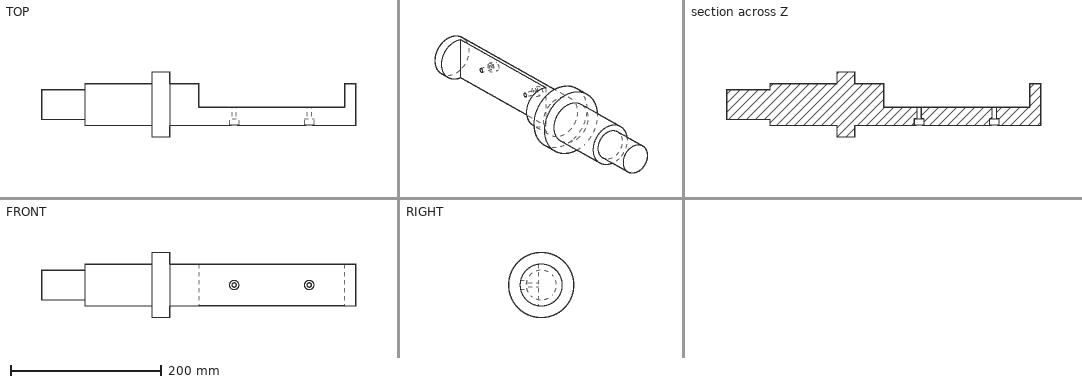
import cadquery as cq

total_length = 418.7
journal_diameter = 40.0
journal_length = 57.5
body_diameter = 56.0
collar_diameter = 87.2
collar_start = 147.0
collar_width = 24.0

relief_start = 209.5
end_lip_length = 15.0
relief_floor_y = -3.5

hole_pitch = 100.0
first_hole_x = 256.5
hole_count = 2
hole_diameter = 5.5
counterbore_diameter = 12.5
counterbore_depth = 9.0


def cylinder_along_x(start, length, diameter):
    return cq.Workplane("YZ", origin=(start, 0, 0)).circle(diameter / 2).extrude(length)


def stepped_shaft():
    journal = cylinder_along_x(0, journal_length, journal_diameter)
    body = cylinder_along_x(journal_length, total_length - journal_length, body_diameter)
    collar = cylinder_along_x(collar_start, collar_width, collar_diameter)
    return journal.union(body).union(collar)


def relief_cutter():
    length = total_length - end_lip_length - relief_start
    return cq.Workplane("XY", origin=(relief_start, relief_floor_y, 0)).box(
        length, body_diameter, body_diameter, centered=(False, False, True)
    )


def screw_hole_cutter(x):
    outer_y = -body_diameter / 2
    entry = cq.Workplane("XZ", origin=(x, outer_y, 0))
    hole = entry.circle(hole_diameter / 2).extrude(-body_diameter / 2)
    counterbore = entry.circle(counterbore_diameter / 2).extrude(-counterbore_depth)
    return hole.union(counterbore)


result = stepped_shaft().cut(relief_cutter())
for index in range(hole_count):
    result = result.cut(screw_hole_cutter(first_hole_x + index * hole_pitch))